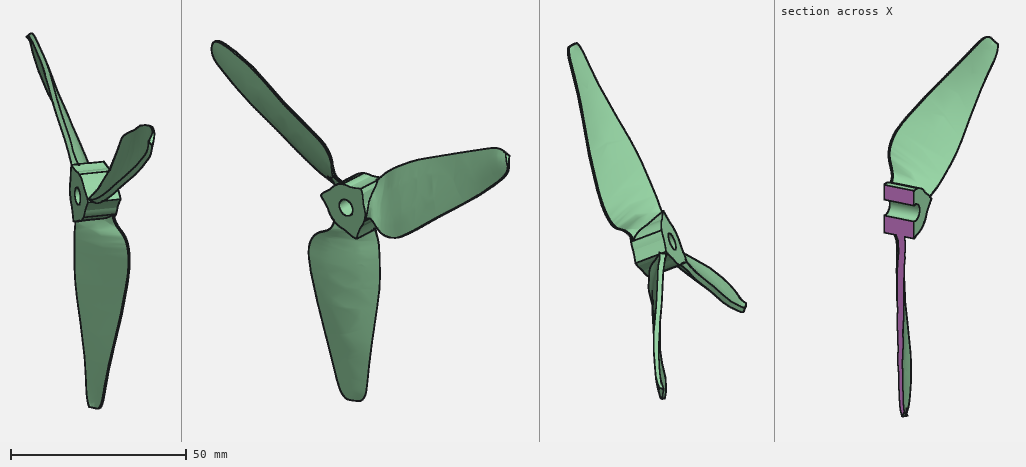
import cadquery as cq

BLADE_COUNT = 3
HUB_RADIUS = 7.1
HUB_DEPTH = 9.8
BORE_DIAMETER = 5.0

WEB_START = (-6.8, -2.2)
WEB_CURVE = (-5.1, -5.2)
WEB_TIP = (-3.9, -8.7)
WEB_SHOULDER = (-2.5, -8.5)
WEB_END = (2.2, -6.5)

NOSE_SLANT = 1.2
TAIL_THICKNESS = 0.6
TAIL_SLANT = 0.2
BACK_BULGE = 0.06
FRONT_BULGE = 0.03
RAIL_STEPS = 2
END_TOLERANCE = 0.01

BLADE_STATIONS = [
    (5.0, -4.0, 5.1, 0.9, 9.4, 3.3),
    (6.7, -4.1, 5.1, 0.5, 9.7, 2.7),
    (8.4, -4.1, 5.9, 0.2, 10.4, 1.8),
    (10.0, -4.6, 8.9, 0.3, 11.1, 1.3),
    (11.7, -5.0, 10.9, 0.3, 11.5, 1.1),
    (15.0, -5.6, 12.5, 0.5, 11.6, 1.1),
    (20.0, -5.9, 12.6, 0.6, 11.5, 1.1),
    (26.7, -5.9, 11.8, 0.8, 10.7, 1.1),
    (33.4, -5.3, 10.8, 1.3, 9.8, 1.1),
    (41.9, -4.7, 9.8, 2.3, 8.1, 1.1),
    (50.1, -3.9, 8.6, 3.0, 6.7, 1.0),
    (56.8, -3.1, 7.1, 3.1, 6.0, 0.9),
    (60.1, -2.6, 6.1, 3.1, 5.8, 0.9),
    (62.1, -1.6, 5.0, 3.1, 5.6, 0.9),
    (63.2, -0.2, 3.5, 3.1, 5.3, 0.9),
]


def cambered_points(start, end, bulge):
    """Points along a shallow parabola that rises to one side of the line start-end."""
    run = end[0] - start[0]
    rise = end[1] - start[1]
    points = []
    for index in range(RAIL_STEPS + 1):
        share = index / RAIL_STEPS
        height = 4 * bulge * share * (1 - share)
        points.append((start[0] + share * run - height * rise, start[1] + share * rise + height * run))
    return points


def section_points(radius, lead_x, trail_x, front_y, back_y, nose):
    """Corners of a cambered section in the plane Z = -radius, in order around it."""
    nose_front = (lead_x + NOSE_SLANT, front_y)
    nose_back = (lead_x, front_y + nose)
    tail_back = (trail_x - TAIL_SLANT, back_y)
    tail_front = (trail_x, back_y - TAIL_THICKNESS)
    back = cambered_points(nose_back, tail_back, BACK_BULGE)
    front = cambered_points(tail_front, nose_front, -FRONT_BULGE)
    return [cq.Vector(x, y, -radius) for x, y in back + front]


def end_cap(side_faces, end_z):
    """Flat face that closes the side faces at height end_z."""
    edges = [
        edge
        for face in side_faces
        for edge in face.Edges()
        if edge.BoundingBox().zlen < END_TOLERANCE and abs(edge.Center().z - end_z) < END_TOLERANCE
    ]
    return cq.Face.makeFromWires(cq.Wire.assembleEdges(edges))


def make_blade():
    """Twisted blade toward -Z: smooth faces through lengthwise rails, closed at both ends."""
    sections = [section_points(*station) for station in BLADE_STATIONS]
    rails = [cq.Edge.makeSpline(list(points)) for points in zip(*sections)]
    back_rails = rails[:RAIL_STEPS + 1]
    front_rails = rails[RAIL_STEPS + 1:]
    faces = [
        cq.occ_impl.shapes.loft(*back_rails).Faces()[0],
        cq.Face.makeRuledSurface(back_rails[-1], front_rails[0]),
        cq.occ_impl.shapes.loft(*front_rails).Faces()[0],
        cq.Face.makeRuledSurface(front_rails[-1], back_rails[0]),
    ]
    ends = [end_cap(faces, -BLADE_STATIONS[index][0]) for index in (0, -1)]
    return cq.Workplane(cq.Solid.makeSolid(cq.Shell.makeShell(faces + ends)).fix())


def make_web():
    return (
        cq.Workplane("XZ")
        .moveTo(0, 0)
        .lineTo(*WEB_START)
        .threePointArc(WEB_CURVE, WEB_TIP)
        .lineTo(*WEB_SHOULDER)
        .lineTo(*WEB_END)
        .close()
        .extrude(-HUB_DEPTH)
    )


def hub_cylinder(radius):
    return cq.Workplane("XZ").circle(radius).extrude(-HUB_DEPTH)


blade = make_blade()
web = make_web()
result = hub_cylinder(HUB_RADIUS)
for index in range(BLADE_COUNT):
    angle = index * 360 / BLADE_COUNT
    for piece in (web, blade):
        result = result.union(piece.rotate((0, 0, 0), (0, 1, 0), angle))
result = result.cut(hub_cylinder(BORE_DIAMETER / 2))